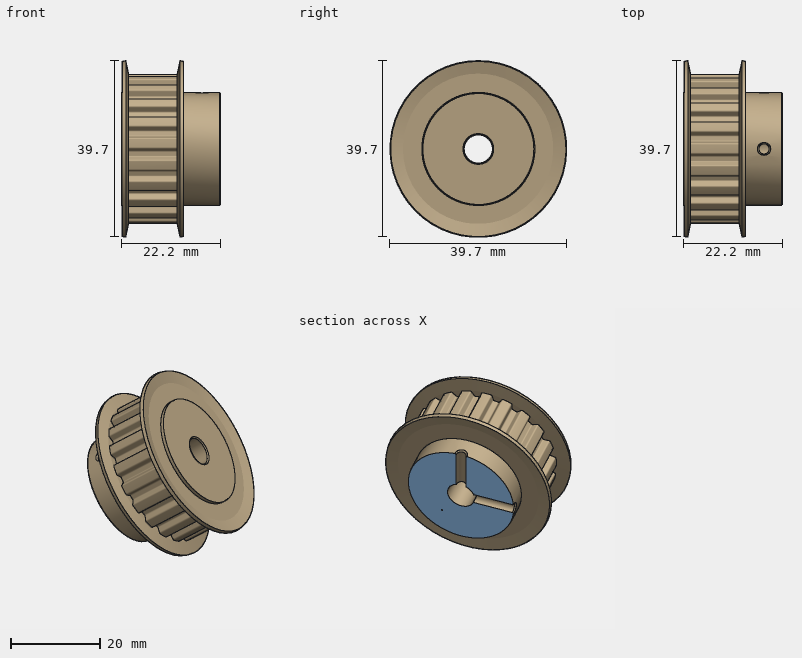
import cadquery as cq
import math


total_length = 22.25
hub_radius = 12.7
hub_chamfer = 0.25
bore_diameter = 6.35
bore_chamfer = 0.28

flange_radius = 19.85
flange_flat_radius = 16.87
flange_thickness = 0.85
flange_dish = 0.65
rim_setback = 0.15
boss_height = rim_setback + flange_dish
tooth_face_width = 10.9
rim_lean = flange_thickness * flange_dish / (flange_radius - flange_flat_radius)

tooth_count = 21
tip_radius = 16.75
groove_depth = 1.45
groove_floor_width = 1.3
groove_flank_angle = 25.0
groove_floor_fillet = 0.35
tooth_tip_fillet = 0.4

screw_hole_diameter = 2.3
screw_hole_mouth = 3.0

teeth_start = boss_height + flange_thickness
teeth_end = teeth_start + tooth_face_width
flange_end = teeth_end + flange_thickness + flange_dish
tooth_pitch_angle = 360.0 / tooth_count
screw_hole_position = (flange_end + total_length) / 2


def disc(radius, start, end):
    """Solid cylinder about the X axis between two X positions."""
    return cq.Workplane("YZ").workplane(offset=start).circle(radius).extrude(end - start)


def lengthwise_edges(body, inner_radius, outer_radius):
    """Edges parallel to X whose distance from the axis lies between two radii."""
    return [
        edge
        for edge in body.edges("|X").vals()
        if inner_radius < math.hypot(edge.Center().y, edge.Center().z) < outer_radius
    ]


def toothed_rim():
    """Cylinder with straight-sided belt grooves, rounded at floor and tips."""
    floor_radius = tip_radius - groove_depth
    overshoot = 0.8
    half_floor = groove_floor_width / 2
    half_mouth = half_floor + (groove_depth + overshoot) * math.tan(math.radians(groove_flank_angle))
    mouth_radius = tip_radius + overshoot
    groove = (
        cq.Workplane("YZ")
        .workplane(offset=teeth_start)
        .polyline(
            [
                (-half_floor, floor_radius),
                (half_floor, floor_radius),
                (half_mouth, mouth_radius),
                (-half_mouth, mouth_radius),
            ]
        )
        .close()
        .extrude(tooth_face_width)
    )
    rim = disc(tip_radius, teeth_start, teeth_end)
    for index in range(tooth_count):
        angle = (index + 0.5) * tooth_pitch_angle
        rim = rim.cut(groove.rotate((0, 0, 0), (1, 0, 0), angle))

    tip_limit = tip_radius - 0.005
    floor_corners = lengthwise_edges(rim, 0, tip_limit)
    rim = rim.newObject(floor_corners).fillet(groove_floor_fillet)
    tooth_corners = lengthwise_edges(rim, tip_limit, mouth_radius)
    return rim.newObject(tooth_corners).fillet(tooth_tip_fillet)


def flange(inner_face, outward):
    """Dished disc whose flat centre covers the tooth ends; outward is -1 or +1 along X."""
    outer_face = inner_face + outward * flange_thickness
    return (
        cq.Workplane("XZ")
        .moveTo(inner_face, 0)
        .lineTo(inner_face, flange_flat_radius)
        .lineTo(inner_face + outward * flange_dish, flange_radius)
        .lineTo(outer_face + outward * flange_dish, flange_radius - rim_lean)
        .lineTo(outer_face, flange_flat_radius)
        .lineTo(outer_face, 0)
        .close()
        .revolve(360, (0, 0, 0), (1, 0, 0))
    )


def hub():
    """Full-length core with its outer end chamfered."""
    return disc(hub_radius, 0, total_length).faces(">X").edges().chamfer(hub_chamfer)


def bore():
    """Cutter for the through bore, flared by a chamfer at both ends."""
    bore_radius = bore_diameter / 2
    mouth_radius = bore_radius + bore_chamfer
    return (
        cq.Workplane("XZ")
        .moveTo(0, 0)
        .lineTo(0, mouth_radius)
        .lineTo(bore_chamfer, bore_radius)
        .lineTo(total_length - bore_chamfer, bore_radius)
        .lineTo(total_length, mouth_radius)
        .lineTo(total_length, 0)
        .close()
        .revolve(360, (0, 0, 0), (1, 0, 0))
    )


def screw_hole():
    """Cutter for a countersunk radial hole on +Z, from the axis to the hub surface."""
    hole_radius = screw_hole_diameter / 2
    mouth_radius = screw_hole_mouth / 2
    countersink_start = hub_radius - (mouth_radius - hole_radius)
    return (
        cq.Workplane("XZ")
        .moveTo(screw_hole_position, 0)
        .lineTo(screw_hole_position + hole_radius, 0)
        .lineTo(screw_hole_position + hole_radius, countersink_start)
        .lineTo(screw_hole_position + mouth_radius, hub_radius)
        .lineTo(screw_hole_position, hub_radius)
        .close()
        .revolve(360, (screw_hole_position, 0, 0), (screw_hole_position, 1, 0))
    )


result = hub().union(toothed_rim()).union(flange(teeth_start, -1)).union(flange(teeth_end, 1))
result = result.cut(bore())
for turn in (0, -90):
    result = result.cut(screw_hole().rotate((0, 0, 0), (1, 0, 0), turn))